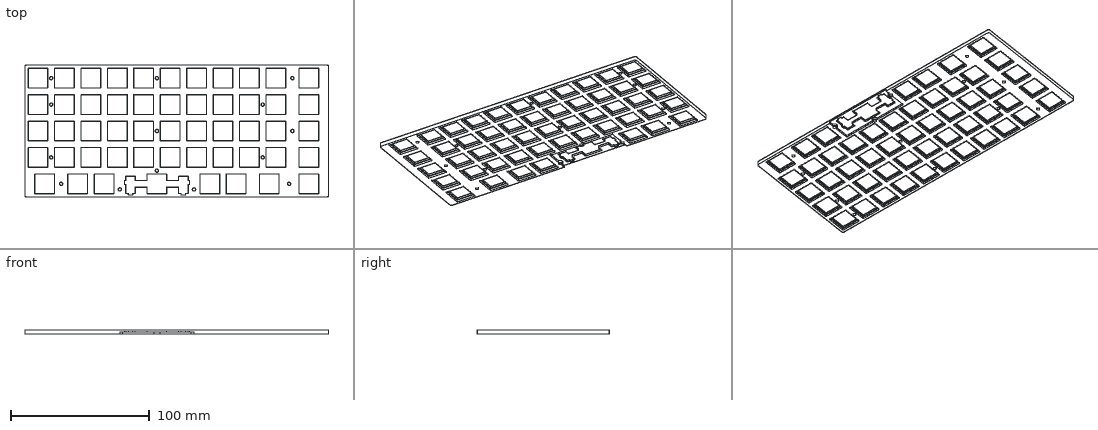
import cadquery as cq

LENGTH = 219.0
KEY_UNIT = LENGTH / 11.5
DEPTH = 5 * KEY_UNIT
THICKNESS = 3.0
CORNER_RADIUS = 1.3

SWITCH_SIZE = 14.0
CLIP_LIP = 0.5
CLIP_RECESS_SIZE = SWITCH_SIZE + 2 * CLIP_LIP
UNDERSIDE_DEPTH = 1.5
LAST_COLUMN = 10.75
UPPER_COLUMNS = [column + 0.5 for column in range(10)] + [LAST_COLUMN]
UPPER_ROWS = [1.5, 2.5, 3.5, 4.5]
BOTTOM_COLUMNS = [0.75, 2, 3, 7, 8, 9.25, LAST_COLUMN]
BOTTOM_ROW = 0.5

SPACE_BAR_X = 5 * KEY_UNIT
SPACE_BAR_Y = BOTTOM_ROW * KEY_UNIT
STABILISER_OFFSET = KEY_UNIT
STABILISER_WIDTH = 6.8
STABILISER_TOP = 5.5
STABILISER_BOTTOM = -6.8
FOOT_WIDTH = 3.0
FOOT_BOTTOM = -7.9
SIDE_NOTCH_DEPTH = 0.9
SIDE_NOTCH_BOTTOM = -0.5
WIRE_SLOT_HEIGHT = 4.5

HOLE_DIAMETER = 2.2
HOLE_SPOTS = [
    (1, 4.5), (5, 4.5), (10.125, 4.5),
    (1, 3.5), (9, 3.5),
    (5, 2.5), (10.125, 2.5),
    (1, 1.5), (9, 1.5),
    (1.375, 0.5), (10, 0.5),
]

POCKET_HALF_WIDTH = 26.7
POCKET_DEPTH = KEY_UNIT
BOSS_DIAMETER = 4.2
POCKET_SIDE_HOLE_Y = 5.5
POCKET_HOLES = [
    (SPACE_BAR_X - POCKET_HALF_WIDTH, POCKET_SIDE_HOLE_Y),
    (SPACE_BAR_X, POCKET_DEPTH),
    (SPACE_BAR_X + POCKET_HALF_WIDTH, POCKET_SIDE_HOLE_Y),
]


def block(left, right, front, back, height=THICKNESS):
    """Box standing on the underside plane."""
    box = cq.Workplane("XY").box(right - left, back - front, height, centered=False)
    return box.translate((left, front, 0))


def plate():
    return block(0, LENGTH, 0, DEPTH).edges("|Z").fillet(CORNER_RADIUS)


def pocket():
    """Recess with half-round bosses left standing around its screw holes."""
    left = SPACE_BAR_X - POCKET_HALF_WIDTH
    right = SPACE_BAR_X + POCKET_HALF_WIDTH
    recess = block(left, right, 0, POCKET_DEPTH, UNDERSIDE_DEPTH)
    bosses = cq.Workplane("XY").pushPoints(POCKET_HOLES).circle(BOSS_DIAMETER / 2).extrude(UNDERSIDE_DEPTH)
    return recess.cut(bosses)


def switch_openings():
    """Square openings with clip recesses; the space bar needs none because the pocket thins it."""
    spots = [(column, row) for column in UPPER_COLUMNS for row in UPPER_ROWS]
    spots += [(column, BOTTOM_ROW) for column in BOTTOM_COLUMNS]
    centres = [(x * KEY_UNIT, y * KEY_UNIT) for x, y in spots]
    space_bar = (SPACE_BAR_X, SPACE_BAR_Y)
    plane = cq.Workplane("XY")
    openings = plane.pushPoints(centres + [space_bar]).rect(SWITCH_SIZE, SWITCH_SIZE).extrude(THICKNESS)
    recesses = plane.pushPoints(centres).rect(CLIP_RECESS_SIZE, CLIP_RECESS_SIZE).extrude(UNDERSIDE_DEPTH)
    return openings.union(recesses)


def stabiliser_opening(side):
    """Opening for one stabiliser housing; side is -1 for left and 1 for right."""
    centre = side * STABILISER_OFFSET
    inner = centre - side * STABILISER_WIDTH / 2
    outer = centre + side * STABILISER_WIDTH / 2
    notch = outer + side * SIDE_NOTCH_DEPTH
    slot_top = WIRE_SLOT_HEIGHT / 2
    outline = [
        (0, slot_top),
        (inner, slot_top),
        (inner, STABILISER_TOP),
        (outer, STABILISER_TOP),
        (outer, slot_top),
        (notch, slot_top),
        (notch, SIDE_NOTCH_BOTTOM),
        (outer, SIDE_NOTCH_BOTTOM),
        (outer, STABILISER_BOTTOM),
        (centre + side * FOOT_WIDTH / 2, STABILISER_BOTTOM),
        (centre + side * FOOT_WIDTH / 2, FOOT_BOTTOM),
        (centre - side * FOOT_WIDTH / 2, FOOT_BOTTOM),
        (centre - side * FOOT_WIDTH / 2, STABILISER_BOTTOM),
        (inner, STABILISER_BOTTOM),
        (inner, -slot_top),
        (0, -slot_top),
    ]
    opening = cq.Workplane("XY").polyline(outline).close().extrude(THICKNESS)
    return opening.translate((SPACE_BAR_X, SPACE_BAR_Y, 0))


def screw_holes():
    centres = [(x * KEY_UNIT, y * KEY_UNIT) for x, y in HOLE_SPOTS] + POCKET_HOLES
    return cq.Workplane("XY").pushPoints(centres).circle(HOLE_DIAMETER / 2).extrude(THICKNESS)


result = plate().cut(pocket()).cut(switch_openings())
for side in (-1, 1):
    result = result.cut(stabiliser_opening(side))
result = result.cut(screw_holes())